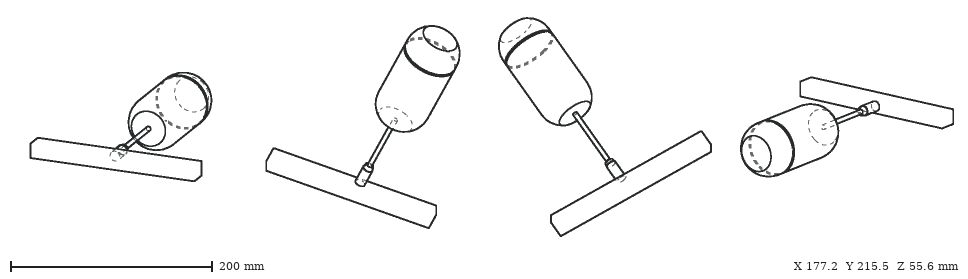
import cadquery as cq
import math


bar_length = 177.2
bar_depth = 19.0
bar_height = 16.0
bar_edge_radius = 1.0
bar_offset_x = 5.4

connector_radius = 5.2
connector_end_y = 42.5
nose_length = 4.0
nose_base_radius = 4.7
nose_tip_radius = 4.3
nose_edge_radius = 0.6

cable_radius = 2.4

capsule_radius = 27.8
capsule_front_y = 105.5
capsule_back_y = 215.5
end_face_radius = 18.3
shoulder_length = 19.5

groove_front_y = 189.7
groove_width = 1.5
groove_depth = 1.0


def cylinder_along_y(radius, start_y, end_y):
    """Solid cylinder on the common axis from start_y to end_y."""
    plane = cq.Plane(origin=(0, start_y, 0), xDir=(1, 0, 0), normal=(0, 1, 0))
    return cq.Workplane(plane).circle(radius).extrude(end_y - start_y)


def make_bar():
    """Rectangular bar with every edge rounded."""
    block = cq.Workplane("XY").box(bar_length, bar_depth, bar_height)
    return block.edges().fillet(bar_edge_radius).translate((bar_offset_x, bar_depth / 2, 0))


def make_connector():
    """Round sleeve that steps down to a tapered nose with a rounded tip edge."""
    nose_start_y = connector_end_y - nose_length
    profile = (
        cq.Workplane("XY")
        .moveTo(0, bar_depth)
        .lineTo(connector_radius, bar_depth)
        .lineTo(connector_radius, nose_start_y)
        .lineTo(nose_base_radius, nose_start_y)
        .lineTo(nose_tip_radius, connector_end_y)
        .lineTo(0, connector_end_y)
        .close()
    )
    sleeve = profile.revolve(360, (0, 0, 0), (0, 1, 0))
    return sleeve.faces(">Y").edges().fillet(nose_edge_radius)


def make_cable():
    """Straight cable between the connector nose and the capsule."""
    return cylinder_along_y(cable_radius, connector_end_y, capsule_front_y)


def make_capsule():
    """Round body with flat ends, arced shoulders and a shallow groove."""
    drop = capsule_radius - end_face_radius
    arc_radius = (shoulder_length**2 + drop**2) / (2 * drop)
    half_angle = math.asin(shoulder_length / arc_radius) / 2
    mid_radius = capsule_radius - arc_radius * (1 - math.cos(half_angle))
    mid_reach = arc_radius * math.sin(half_angle)

    side_front_y = capsule_front_y + shoulder_length
    side_back_y = capsule_back_y - shoulder_length
    profile = (
        cq.Workplane("XY")
        .moveTo(0, capsule_front_y)
        .lineTo(end_face_radius, capsule_front_y)
        .threePointArc((mid_radius, side_front_y - mid_reach), (capsule_radius, side_front_y))
        .lineTo(capsule_radius, side_back_y)
        .threePointArc((mid_radius, side_back_y + mid_reach), (end_face_radius, capsule_back_y))
        .lineTo(0, capsule_back_y)
        .close()
    )
    body = profile.revolve(360, (0, 0, 0), (0, 1, 0))

    groove_back_y = groove_front_y + groove_width
    groove_floor_radius = capsule_radius - groove_depth
    groove = cylinder_along_y(capsule_radius + groove_depth, groove_front_y, groove_back_y).cut(
        cylinder_along_y(groove_floor_radius, groove_front_y, groove_back_y)
    )
    return body.cut(groove)


bar = make_bar()
connector = make_connector()
cable = make_cable()
capsule = make_capsule()

result = cq.Compound.makeCompound([bar.val(), connector.val(), cable.val(), capsule.val()])